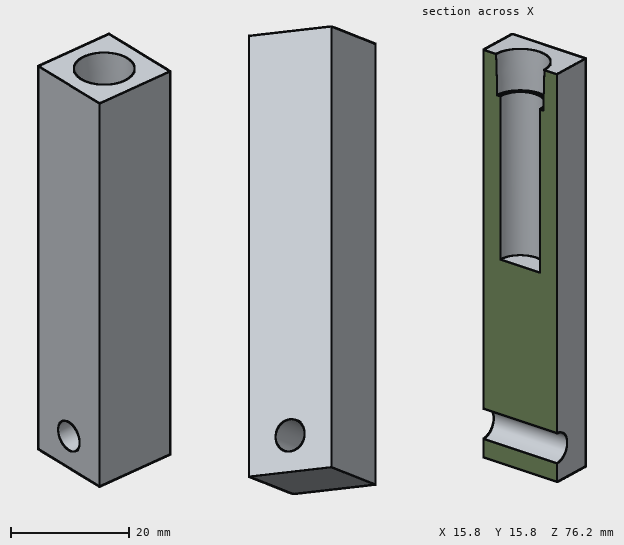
import cadquery as cq

width_x = 15.85
width_y = 15.8
height = 76.2

mouth_diameter = 10.3
socket_end_diameter = 9.8
socket_depth = 7.6
pilot_diameter = 8.45
pilot_depth = 30.5

cross_hole_diameter = 5.6
cross_hole_height = 6.3


def make_bore():
    """Revolve the half profile of the stepped bore about the Z axis."""
    shoulder_z = height - socket_depth
    floor_z = shoulder_z - pilot_depth
    profile = (
        cq.Workplane("XZ")
        .moveTo(0, height)
        .lineTo(mouth_diameter / 2, height)
        .lineTo(socket_end_diameter / 2, shoulder_z)
        .lineTo(pilot_diameter / 2, shoulder_z)
        .lineTo(pilot_diameter / 2, floor_z)
        .lineTo(0, floor_z)
        .close()
    )
    return profile.revolve(360, (0, 0, 0), (0, 1, 0))


def make_cross_hole():
    """Cylinder along Y, as long as the bar is deep."""
    return (
        cq.Workplane("XZ")
        .center(0, cross_hole_height)
        .circle(cross_hole_diameter / 2)
        .extrude(width_y / 2, both=True)
    )


bar = cq.Workplane("XY").box(width_x, width_y, height, centered=(True, True, False))
result = bar.cut(make_bore()).cut(make_cross_hole())